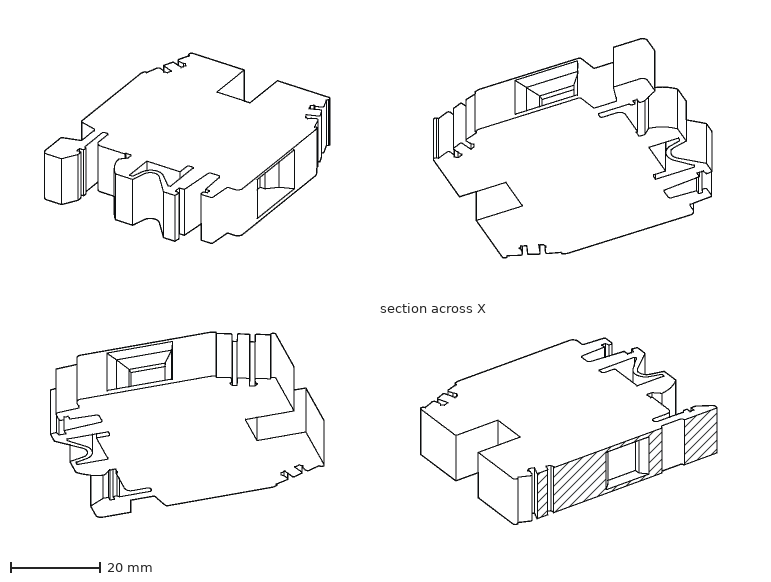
import cadquery as cq
import math

width = 46.5
length = 55.0
thickness = 12.0

half_width = width / 2
top = length / 2
bottom = -length / 2

body_floor = -18.1
foot_slot_top = -14.85
recess_wall = -18.65
stem_right = -16.55
stem_slot_right = -15.05
stem_slot_top = -12.55
hook_right = -16.0
hook_notch_wall = -17.15
groove_wall = -5.7
groove_top = -17.7
nose_bottom = -26.6
blade_left = 8.95
blade_notch_wall = 11.05
window_left = -1.45
window_floor = -25.4
window_step = 7.4
lug_bottom = -23.9
lug_notch_wall = 17.5
notch_half_width = 4.4
notch_floor = 16.0
shoulder = 13.85

entry_top_y = 4.85
entry_bottom_y = -10.65
entry_floor_z = 1.1
entry_roof_z = 11.3
mouth_depth = 3.25
mouth_taper = 1.25
throat_depth = 5.5
throat_taper = 2.25
throat_roof_drop = 1.6
socket_depth = 6.8


def rounded_wire(corners):
    """Closed wire through (x, y) or (x, y, radius) corners; a radius rounds its corner."""
    count = len(corners)
    stretches = []
    for i, corner in enumerate(corners):
        point = cq.Vector(*corner[:2])
        if len(corner) == 2:
            stretches.append([point])
            continue
        radius = corner[2]
        to_previous = (cq.Vector(*corners[i - 1][:2]) - point).normalized()
        to_next = (cq.Vector(*corners[(i + 1) % count][:2]) - point).normalized()
        half_angle = to_previous.getAngle(to_next) / 2
        setback = radius / math.tan(half_angle)
        bulge = radius / math.sin(half_angle) - radius
        bisector = (to_previous + to_next).normalized()
        stretches.append([
            point + to_previous * setback,
            point + bisector * bulge,
            point + to_next * setback,
        ])
    outline = cq.Workplane("XY").moveTo(*stretches[0][-1].toTuple()[:2])
    for stretch in stretches[1:] + stretches[:1]:
        outline = outline.lineTo(*stretch[0].toTuple()[:2])
        if len(stretch) == 3:
            outline = outline.threePointArc(stretch[1].toTuple()[:2], stretch[2].toTuple()[:2])
    return outline.close()


def mirrored(corners):
    """The same corners on the other side of X = 0, in reverse order."""
    return [(-corner[0],) + corner[1:] for corner in reversed(corners)]



head_left = [
    (-notch_half_width, notch_floor),
    (-notch_half_width, top),
    (-18.8, top, 0.6),
    (-18.6, 26.55),
    (-18.2, 26.25),
    (-19.5, 23.05, 0.55),
    (-17.9, 22.6),
    (-17.45, 22.6),
    (-17.1, 22.8),
    (-16.55, 22.1),
    (-17.0, 20.9),
    (-19.75, 21.95, 0.35),
    (-20.85, 19.35, 0.35),
    (-17.9, 18.3),
    (-18.3, 17.3),
    (-19.1, 17.05),
    (-19.65, 17.6),
    (-21.25, 18.2, 0.5),
    (-22.35, 14.85),
    (-22.9, 14.9),
    (-half_width, shoulder, 2.0),
]

left_foot = [
    (-half_width, -11.35, 0.65),
    (recess_wall, -12.6, 0.4),
    (recess_wall, -18.25, 0.4),
    (-half_width, -19.6),
    (-half_width, bottom, 1.25),
    (-18.15, bottom),
    (hook_right, -23.85),
    (hook_right, -22.6),
    (hook_notch_wall, -22.6),
    (hook_notch_wall, -21.55),
    (hook_right, -21.55),
    (hook_right, -20.55),
    (stem_right, -20.25),
    (stem_right, stem_slot_top, 0.55),
    (stem_slot_right, stem_slot_top, 0.55),
    (stem_slot_right, body_floor, 1.45),
]

centre_foot = [
    (-7.25, body_floor),
    (-7.25, groove_top),
    (groove_wall, groove_top, 0.2),
    (groove_wall, -19.15),
    (-7.25, -20.8),
    (-6.75, -24.15, 9.35),
    (-4.35, nose_bottom),
    (0.2, nose_bottom),
]

spring_and_blade = [
    (2.0, -19.35, 2.05),
    (blade_left, bottom),
    (12.0, bottom),
    (12.2, -26.0),
    (blade_notch_wall, -25.75),
    (blade_notch_wall, -24.15),
    (12.4, -24.15),
    (13.15, foot_slot_top, 0.6),
    (16.1, foot_slot_top, 0.6),
]

right_lug = [
    (16.4, -21.55),
    (lug_notch_wall, -21.55),
    (lug_notch_wall, -22.55),
    (16.5, -22.8),
    (16.5, lug_bottom, 0.45),
    (19.6, lug_bottom, 0.45),
    (20.0, body_floor, 0.35),
    (half_width, body_floor, 1.3),
]

spring_window = [
    (window_left, body_floor),
    (window_left, window_floor),
    (-0.55, window_floor, 0.3),
    (1.5, -18.05, 2.85),
    (8.45, -24.75, 0.2),
    (blade_left, -24.55),
    (blade_left, foot_slot_top),
    (window_step, foot_slot_top, 0.5),
    (window_step, body_floor),
]


def make_plate():
    outline = head_left + left_foot + centre_foot + spring_and_blade + right_lug + mirrored(head_left)
    plate = rounded_wire(outline).extrude(thickness)
    return plate.cut(rounded_wire(spring_window).extrude(thickness))


def entry_stage(start, end, y_inset_start, y_inset_end, roof_drop_start, roof_drop_end):
    """One funnel stage between two depths, lofted from rectangle to rectangle."""
    def section(y_inset, roof_drop):
        y_low = entry_bottom_y + y_inset
        y_high = entry_top_y - y_inset
        z_high = entry_roof_z - roof_drop
        return [(y_low, entry_floor_z), (y_high, entry_floor_z), (y_high, z_high), (y_low, z_high)]

    return (
        cq.Workplane("YZ", origin=(start - half_width, 0, 0))
        .polyline(section(y_inset_start, roof_drop_start)).close()
        .workplane(offset=end - start)
        .polyline(section(y_inset_end, roof_drop_end)).close()
        .loft(ruled=True)
    )


def make_wire_entry():
    inset = mouth_taper + throat_taper
    mouth = entry_stage(0, mouth_depth, 0, mouth_taper, 0, 0)
    throat = entry_stage(mouth_depth, throat_depth, mouth_taper, inset, 0, throat_roof_drop)
    socket = entry_stage(throat_depth, socket_depth, inset, inset, throat_roof_drop, throat_roof_drop)
    return mouth.union(throat).union(socket)


wire_entry = make_wire_entry()
result = make_plate().cut(wire_entry).cut(wire_entry.mirror("YZ"))